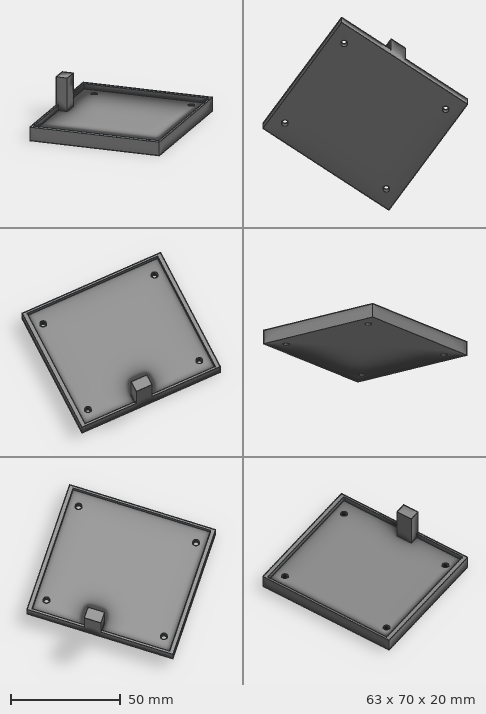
import cadquery as cq

length_x = 63.0
width_y = 70.0
floor_thickness = 4.0
tray_height = 6.5
side_wall = 1.05
end_wall = 2.0

post_top = 20.0
post_depth_x = 5.4
post_width_y = 8.0
post_center_y = 3.5

hole_diameter = 3.0
hole_spacing_x = 47.3
hole_spacing_y = 56.35


def block(size_x, size_y, bottom, top):
    """Box centred on the Z axis between two heights."""
    return (
        cq.Workplane("XY")
        .workplane(offset=bottom)
        .rect(size_x, size_y)
        .extrude(top - bottom)
    )


tray = block(length_x, width_y, 0, tray_height)
pocket = block(length_x - 2 * side_wall, width_y - 2 * end_wall, floor_thickness, tray_height)
tray = tray.cut(pocket)

post_center_x = (post_depth_x - length_x) / 2
post = block(post_depth_x, post_width_y, floor_thickness, post_top)
post = post.translate((post_center_x, post_center_y, 0))

holes = (
    cq.Workplane("XY")
    .rarray(hole_spacing_x, hole_spacing_y, 2, 2)
    .circle(hole_diameter / 2)
    .extrude(floor_thickness)
)

result = tray.union(post).cut(holes)